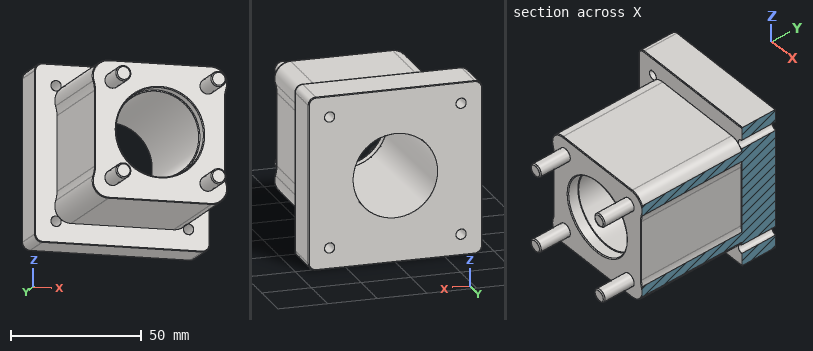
import cadquery as cq
import math

length = 82.0
flange_thickness = 17.0
pin_length = 15.0
body_length = length - flange_thickness - pin_length
body_front = 0.0
flange_front = body_front + body_length
flange_back = flange_front + flange_thickness

flange_side = 70.0
flange_corner_radius = 3.0
screw_hole_diameter = 4.1
screw_hole_offset = 26.5

body_side = 54.0
body_corner_radius = 6.5
hollow_blend_radius = 12.0
hollow_depth = 0.9

pin_diameter = 6.0
pin_offset = 19.0
pin_chamfer = 0.5

bore_diameter = 34.0
counterbore_diameter = 35.0
counterbore_depth = 5.0
bore_chamfer = 0.4

edge_chamfer = 0.3


def plane_at(y):
    """XZ work plane at the given Y, with its normal along +Y and local y along +Z."""
    return cq.Workplane(cq.Plane(origin=(0, y, 0), xDir=(-1, 0, 0), normal=(0, 1, 0)))


def corner_points(offset):
    return [(x, z) for x in (-offset, offset) for z in (-offset, offset)]


def make_flange():
    flange = plane_at(flange_front).rect(flange_side, flange_side).extrude(flange_thickness)
    flange = flange.edges("|Y").fillet(flange_corner_radius)
    flange = flange.faces("<Y or >Y").edges().chamfer(edge_chamfer)
    holes = (
        plane_at(flange_front)
        .pushPoints(corner_points(screw_hole_offset))
        .circle(screw_hole_diameter / 2)
        .extrude(flange_thickness)
    )
    return flange.cut(holes)


def make_body():
    half = body_side / 2
    center = half - body_corner_radius
    blend = math.acos(1 - hollow_depth / (body_corner_radius + hollow_blend_radius))
    hollow_x = half - hollow_depth
    hollow_z = center - (body_corner_radius + hollow_blend_radius) * math.sin(blend)
    blend_center_x = hollow_x + hollow_blend_radius

    def on_corner(angle):
        return (
            center + body_corner_radius * math.cos(angle),
            center + body_corner_radius * math.sin(angle),
        )

    def on_blend(angle):
        return (
            blend_center_x - hollow_blend_radius * math.cos(angle),
            hollow_z + hollow_blend_radius * math.sin(angle),
        )

    def at(point, sign_x, sign_z):
        return (sign_x * point[0], sign_z * point[1])

    top = on_corner(math.pi / 2)
    corner_mid = on_corner(math.pi / 4)
    joint = on_corner(-blend)
    blend_mid = on_blend(blend / 2)
    flat_end = on_blend(0)

    outline = plane_at(body_front).moveTo(*at(top, -1, 1))
    for side in (1, -1):
        outline = (
            outline.lineTo(*at(top, side, side))
            .threePointArc(at(corner_mid, side, side), at(joint, side, side))
            .threePointArc(at(blend_mid, side, side), at(flat_end, side, side))
            .lineTo(*at(flat_end, side, -side))
            .threePointArc(at(blend_mid, side, -side), at(joint, side, -side))
            .threePointArc(at(corner_mid, side, -side), at(top, side, -side))
        )
    body = outline.close().extrude(body_length)
    return body.faces("<Y").edges().chamfer(edge_chamfer)


def make_pins():
    pins = (
        plane_at(body_front - pin_length)
        .pushPoints(corner_points(pin_offset))
        .circle(pin_diameter / 2)
        .extrude(pin_length)
    )
    return pins.faces("<Y").edges().chamfer(pin_chamfer)


def make_bore():
    bore = plane_at(body_front).circle(bore_diameter / 2).extrude(flange_back - body_front)
    counterbore = plane_at(body_front).circle(counterbore_diameter / 2).extrude(counterbore_depth)
    mouth = (
        plane_at(body_front)
        .circle(counterbore_diameter / 2 + bore_chamfer)
        .workplane(offset=bore_chamfer)
        .circle(counterbore_diameter / 2)
        .loft()
    )
    return bore.union(counterbore).union(mouth)


result = make_flange().union(make_body()).union(make_pins()).cut(make_bore())
result = result.translate((0, length / 2 - flange_back, 0))